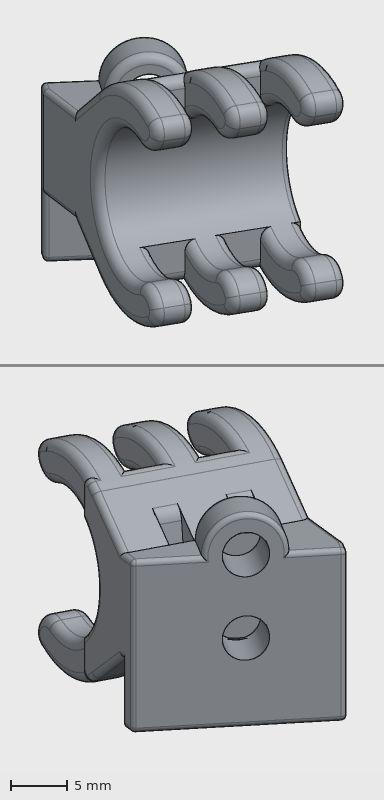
import cadquery as cq
import math

WIDTH = 19.0
BODY_TOP = 16.5
BODY_BOTTOM = 6.5
PIVOT_Z = (BODY_TOP + BODY_BOTTOM) / 2

TILT = 18.0
PLATE_THICKNESS = 2.0
PLATE_FOOT_X = 1.78
EDGE_ROUND = 0.5
BURIED_DEPTH = 0.75

PIVOT_X = 19.74
JAW_RADIUS = 6.98
ARM_DEPTH = 4.01
OUTER_RADIUS = JAW_RADIUS + ARM_DEPTH
LIP_RADIUS = 2.5
TIP_RADIUS = ARM_DEPTH - LIP_RADIUS
LIP_BEARING = 20.0
NECK_X = 7.85
NECK_OVERLAP = 0.75
BODY_END_X = NECK_X + NECK_OVERLAP

FINGER_COUNT = 3
FINGER_WIDTH = 4.01
FINGER_PITCH = 7.42
SLOT_FLOOR_X = 15.77
FINGER_ROUND = 1.0
FAR_ROUND = 0.65

WINDOW_WIDTH = 2.5
WINDOW_DEPTH = 1.98
WINDOW_WALL_RADIUS = 38.1
WINDOW_ROUND = 2.0
WINDOW_Y = (5.72, 13.05)

BOSS_RADIUS = 3.94
BOSS_LENGTH = 4.95
BOSS_BACK_ROUND = 0.9
HOLE_DIAMETER = 4.25
HOLE_DEPTH = 5.2
HOLE_Y = 9.25
HOLE_Z = (8.53, BODY_TOP)

tilt = math.radians(TILT)
normal_x = math.cos(tilt)
normal_y = -math.sin(tilt)
front_x = PLATE_FOOT_X - PLATE_THICKNESS * normal_x
front_y = -PLATE_THICKNESS * normal_y


def plane_x(depth, y):
    """X, at the given y, of the plane lying `depth` behind the plate's front face."""
    return front_x + depth / normal_x + (y - front_y) * math.tan(tilt)


def end_point(depth):
    """Plan point on the square near end of the plate, `depth` behind its front face."""
    return (front_x + depth * normal_x, front_y + depth * normal_y)


def polar(radius, bearing):
    """Point around the clip pivot; the bearing is measured from +Z toward +X."""
    angle = math.radians(bearing)
    return (PIVOT_X + radius * math.sin(angle), PIVOT_Z + radius * math.cos(angle))


def offset_point(centre, radius, angle):
    """Point on a circle in the XZ plane; the angle is in radians from +X."""
    return (centre[0] + radius * math.cos(angle), centre[1] + radius * math.sin(angle))


def mirrored(point):
    """Reflect an XZ point across the clip's mid plane."""
    return (point[0], 2 * PIVOT_Z - point[1])


def xz_prism(wire, y_start, length):
    """Extrude an XZ outline toward +Y from y_start."""
    return wire.extrude(-length).translate((0, y_start, 0))


def make_plate():
    """Slab with its near end square to its face and its far end flush with the body."""
    plan = [
        end_point(0),
        end_point(PLATE_THICKNESS),
        (plane_x(PLATE_THICKNESS, WIDTH), WIDTH),
        (plane_x(0, WIDTH), WIDTH),
    ]
    plate = cq.Workplane("XY").polyline(plan).close().extrude(BODY_TOP)
    return plate.edges().fillet(EDGE_ROUND)


def make_body():
    """Block behind the plate; it starts inside the plate, clear of the rounded front rim."""
    plan = [
        end_point(BURIED_DEPTH),
        end_point(PLATE_THICKNESS),
        (BODY_END_X, 0),
        (BODY_END_X, WIDTH),
        (plane_x(BURIED_DEPTH, WIDTH), WIDTH),
    ]
    body = cq.Workplane("XY").workplane(offset=BODY_BOTTOM).polyline(plan).close()
    body = body.extrude(BODY_TOP - BODY_BOTTOM)
    return body.faces("|Z").edges("not(>X)").fillet(EDGE_ROUND)


def jaw_outline():
    """Clip section: a neck that flares tangentially into two rounded arms."""
    neck = (NECK_X, BODY_TOP)
    reach = math.hypot(PIVOT_X - NECK_X, BODY_TOP - PIVOT_Z)
    neck_bearing = -math.degrees(math.atan2(PIVOT_X - NECK_X, BODY_TOP - PIVOT_Z))
    tangent_bearing = neck_bearing + math.degrees(math.acos(OUTER_RADIUS / reach))

    centre_radius = JAW_RADIUS + LIP_RADIUS
    spread = 2 * math.asin((LIP_RADIUS - TIP_RADIUS) / (2 * centre_radius))
    tip_bearing = LIP_BEARING + math.degrees(spread)
    lip_centre = polar(centre_radius, LIP_BEARING)
    tip_centre = polar(centre_radius, tip_bearing)
    join_angle = math.atan2(tip_centre[1] - lip_centre[1], tip_centre[0] - lip_centre[0])

    tangent = polar(OUTER_RADIUS, tangent_bearing)
    outer_mid = polar(OUTER_RADIUS, (tangent_bearing + tip_bearing) / 2)
    outer_end = polar(OUTER_RADIUS, tip_bearing)
    tip_mid = offset_point(tip_centre, TIP_RADIUS, 0)
    join = offset_point(lip_centre, LIP_RADIUS, join_angle)
    lip_mid = offset_point(lip_centre, LIP_RADIUS, -math.pi / 2)
    inner_end = polar(JAW_RADIUS, LIP_BEARING)
    inner_mid = polar(JAW_RADIUS, -90)

    return (
        cq.Workplane("XZ")
        .moveTo(*neck)
        .lineTo(*tangent)
        .threePointArc(outer_mid, outer_end)
        .threePointArc(tip_mid, join)
        .threePointArc(lip_mid, inner_end)
        .threePointArc(inner_mid, mirrored(inner_end))
        .threePointArc(mirrored(lip_mid), mirrored(join))
        .threePointArc(mirrored(tip_mid), mirrored(outer_end))
        .threePointArc(mirrored(outer_mid), mirrored(tangent))
        .lineTo(*mirrored(neck))
        .close()
    )


def make_finger(index):
    """One full clip section with all its rims rounded."""
    finger = xz_prism(jaw_outline(), index * FINGER_PITCH, FINGER_WIDTH)
    return finger.faces("|Y").edges("not(<X)").fillet(FINGER_ROUND)


def make_root():
    """Joins the fingers up to the slot floors, from inside the first finger to the far side."""
    start_y = FINGER_WIDTH / 2
    root = xz_prism(jaw_outline(), start_y, WIDTH - start_y)
    arms = cq.Workplane("XY").box(2 * WIDTH, 4 * WIDTH, 4 * WIDTH)
    root = root.cut(arms.translate((SLOT_FLOOR_X + WIDTH, 0, 0)))
    root = root.faces(">X").edges("|Y").edges(">Z or <Z").fillet(FINGER_ROUND)
    return root.faces(">Y").edges("not(<X)").fillet(FAR_ROUND)


def make_window(y_centre):
    """Vertical strap passage whose jaw-side wall bulges toward the neck."""
    wall_x = NECK_X + WINDOW_DEPTH
    height = OUTER_RADIUS
    end_x = wall_x + WINDOW_WALL_RADIUS - math.sqrt(WINDOW_WALL_RADIUS**2 - height**2)
    section = (
        cq.Workplane("XZ")
        .moveTo(NECK_X, PIVOT_Z - height)
        .lineTo(end_x, PIVOT_Z - height)
        .threePointArc((wall_x, PIVOT_Z), (end_x, PIVOT_Z + height))
        .lineTo(NECK_X, PIVOT_Z + height)
        .close()
    )
    return xz_prism(section, y_centre - WINDOW_WIDTH / 2, WINDOW_WIDTH)


def face_plane(z):
    """Plane on the plate's front face at a hole centre, facing into the part."""
    return cq.Plane(
        origin=(plane_x(0, HOLE_Y), HOLE_Y, z), xDir=(0, 0, 1), normal=(normal_x, normal_y, 0)
    )


def make_boss(z):
    """Round boss running square into the part from the plate's front face."""
    inward = cq.Vector(normal_x, normal_y, 0)
    boss = cq.Workplane(face_plane(z)).circle(BOSS_RADIUS).extrude(BOSS_LENGTH)
    back = cq.selectors.DirectionMinMaxSelector(inward, True)
    boss = boss.faces(back).edges().fillet(BOSS_BACK_ROUND)
    front = cq.selectors.DirectionMinMaxSelector(inward, False)
    return boss.faces(front).edges().fillet(EDGE_ROUND)


def make_hole(z):
    """Blind screw hole in line with its boss."""
    return cq.Workplane(face_plane(z)).circle(HOLE_DIAMETER / 2).extrude(HOLE_DEPTH)


def round_window_rims(part):
    """Ease the strap over the jaw-side edge of each window, above and below."""
    rim_zone = cq.selectors.BoxSelector(
        (NECK_X + WINDOW_DEPTH, 0, -WIDTH), (NECK_X + 2 * WINDOW_DEPTH, WIDTH, 2 * WIDTH)
    )
    return part.edges("|Y").edges(rim_zone).fillet(WINDOW_ROUND)


result = make_plate().union(make_body()).union(make_root())
for finger_index in range(FINGER_COUNT):
    result = result.union(make_finger(finger_index))
for window_y in WINDOW_Y:
    result = result.cut(make_window(window_y))
result = round_window_rims(result)
for hole_z in HOLE_Z:
    result = result.union(make_boss(hole_z))
for hole_z in HOLE_Z:
    result = result.cut(make_hole(hole_z))